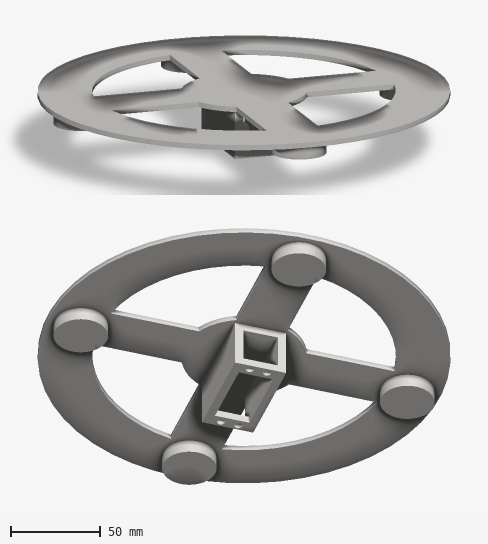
import cadquery as cq

plate_diameter = 230.5
plate_thickness = 3.0
window_diameter = 169.6
hub_diameter = 70.0
spoke_width = 30.2

pad_diameter = 30.5
pad_height = 7.8
pad_offset = 96.1

overall_height = 31.0
tube_length = 57.9
tube_width = spoke_width
tube_height = overall_height - plate_thickness
tunnel_width = 20.3
floor_thickness = 4.1
roof_thickness = floor_thickness

floor_hole_diameter = 4.5
floor_hole_x = 25.4
floor_hole_y = 5.0

floor_opening_length = 42.0


def disc(diameter, height):
    return cq.Workplane("XY").circle(diameter / 2).extrude(height)


def make_plate():
    """Disc with four windows left between the rim, hub and crossing spokes."""
    spoke_x = cq.Workplane("XY").rect(window_diameter, spoke_width).extrude(plate_thickness)
    spoke_y = cq.Workplane("XY").rect(spoke_width, window_diameter).extrude(plate_thickness)
    windows = disc(window_diameter, plate_thickness).cut(disc(hub_diameter, plate_thickness))
    windows = windows.cut(spoke_x).cut(spoke_y)
    return disc(plate_diameter, plate_thickness).cut(windows)


def make_pads():
    centres = [(pad_offset, 0), (0, pad_offset), (-pad_offset, 0), (0, -pad_offset)]
    return cq.Workplane("XY").pushPoints(centres).circle(pad_diameter / 2).extrude(-pad_height)


def make_tube():
    tube = cq.Workplane("XY").rect(tube_length, tube_width).extrude(-tube_height)
    tunnel_height = tube_height - floor_thickness - roof_thickness
    tunnel = (
        cq.Workplane("XY")
        .workplane(offset=-roof_thickness)
        .rect(tube_length, tunnel_width)
        .extrude(-tunnel_height)
    )
    floor_holes = (
        cq.Workplane("XY")
        .workplane(offset=-tube_height)
        .rect(2 * floor_hole_x, 2 * floor_hole_y, forConstruction=True)
        .vertices()
        .circle(floor_hole_diameter / 2)
        .extrude(floor_thickness)
    )
    floor_opening = (
        cq.Workplane("XY")
        .workplane(offset=-tube_height)
        .rect(floor_opening_length, tunnel_width)
        .extrude(floor_thickness)
    )
    return tube.cut(tunnel).cut(floor_opening).cut(floor_holes)


result = make_plate().union(make_pads()).union(make_tube())